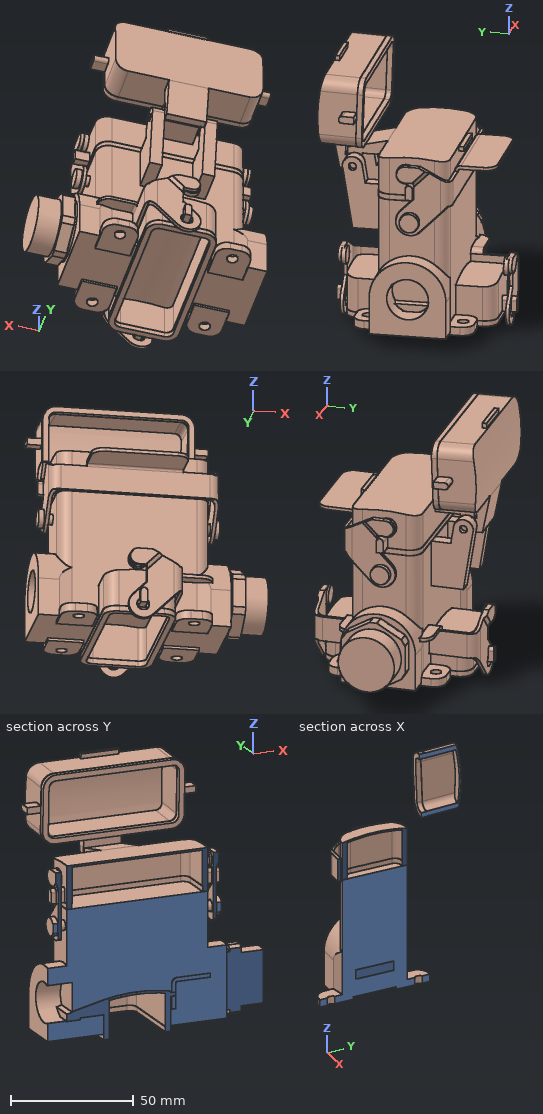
import cadquery as cq
import math

body_length = 63.0
body_width = 29.8
corner_radius = 5.5
wall = 2.5
root_depth = wall / 2
slip = 0.1

half_length = body_length / 2
half_width = body_width / 2
peg_reach = 37.7

cap_bottom = 55.9
cap_top = 74.7
crown_radius = 69.9
crown_thickness = 1.0
rim_step = 0.1
peg_width = 3.0
peg_bottom = 58.3
peg_top = 64.6
arm_half_width = 8.5
rib_reach = 2.1
rib_height = 1.8
rib_top = 72.6
hinge_y = 28.5
hinge_z = 62.8
hinge_end = 3.0
arm_end_top = 69.2
arm_underside = 66.9
arm_lug_bottom = 66.1
open_angle = 88.0

pivot_z = 48.2
lever_half_length = 35.4
lever_front = 17.0
sheet = 1.5
bend_radius = 4.4
eye_radius = 6.0
pivot_hole_diameter = 5.0
notch_y = -1.6
band_bottom = 7.2
band_top = 17.9
tab_center_y = 2.1
tab_bottom = 17.1
tab_radius = 3.4
tab_shoulder_y = -3.8
ramp_start = 9.6
ramp_end = 11.3
tab_step = 1.0
pad_thickness = 2.0
pad_radius = 3.9
pad_y = 2.0
pad_z = 20.0
handle_half_width = 20.0
handle_bend = 1.0
handle_end = 32.5
handle_top = 20.3
handle_corner = 5.0

boss_end = 40.1
boss_radius = 16.0
boss_axis_z = 16.0
bore_diameter = 17.4
bore_depth = 11.0
foot_inner_x = 16.5
foot_inner_y = 9.6
foot_outer_y = 25.1
foot_corner = 5.0
foot_bottom = -1.1
foot_top = 2.5
foot_hole_y = 19.9
foot_hole_diameter = 4.5
knuckle_radius = 4.2
cheek_flare = 1.1
knuckle_outer_x = 13.9
knuckle_hole_diameter = 3.2
knuckle_hole_depth = 2.3
bracket_bottom = 36.1
rivet_diameter = 4.5
rivet_head_diameter = 8.0

gland_neck_diameter = 26.0
gland_neck_length = 1.1
nut_across_flats = 27.3
nut_across_corners = 29.7
nut_length = 5.4
gland_tube_diameter = 24.0
gland_end = 56.4


def upright_block(inset, bottom, top):
    """Rounded rectangular block of the body outline, drawn in by `inset` (out if negative)."""
    return (
        cq.Workplane("XY", origin=(0, 0, bottom))
        .rect(body_length - 2 * inset, body_width - 2 * inset)
        .extrude(top - bottom)
        .edges("|Z")
        .fillet(corner_radius - inset)
    )


def crowned_block(inset, crown_inset):
    """Body block from the cap rim up to a crown that is curved along Y."""
    top = cap_top - crown_inset
    radius = crown_radius - crown_inset
    crown = cq.Workplane("YZ").center(0, top - radius).circle(radius).extrude(half_length, both=True)
    return upright_block(inset, cap_bottom, cap_top).intersect(crown)


def cap_hull():
    """Closed cap without its cavity."""
    edge_z = cap_top - crown_radius + math.sqrt(crown_radius**2 - half_width**2)
    arm = (
        cq.Workplane("YZ")
        .polyline([
            (half_width - root_depth, edge_z),
            (half_width, edge_z),
            (hinge_y + hinge_end, arm_end_top),
            (hinge_y + hinge_end, arm_lug_bottom),
            (hinge_y - hinge_end + slip, arm_lug_bottom),
            (hinge_y - hinge_end - slip, arm_underside),
            (half_width - root_depth, arm_underside),
        ])
        .close()
        .extrude(arm_half_width, both=True)
    )
    rib_depth = rib_reach + root_depth
    rib = (
        cq.Workplane("XY")
        .box(2 * arm_half_width, rib_depth, rib_height)
        .translate((0, rib_depth / 2 - half_width - rib_reach, rib_top - rib_height / 2))
    )
    peg_radius = peg_width / 2
    peg_center = peg_top - peg_radius
    pegs = (
        cq.Workplane("YZ")
        .moveTo(-peg_radius, peg_bottom)
        .lineTo(peg_radius, peg_bottom)
        .lineTo(peg_radius, peg_center)
        .threePointArc((0, peg_top), (-peg_radius, peg_center))
        .close()
        .extrude(peg_reach, both=True)
    )
    rim = upright_block(-rim_step, cap_bottom, peg_bottom)
    return crowned_block(0, 0).union(rim).union(arm).union(rib).union(pegs)


def cap():
    """Hollow cap; its cavity widens by the same small step at the rim."""
    rim_recess = upright_block(wall - rim_step, cap_bottom, peg_bottom)
    return cap_hull().cut(crowned_block(wall, crown_thickness)).cut(rim_recess)


def closed(shape):
    return shape


def opened(shape):
    """Swing a closed cap about the hinge axis."""
    return shape.rotate((0, hinge_y, hinge_z), (1, hinge_y, hinge_z), -open_angle)


def lowered_cap(shape):
    """Turn a closed cap a quarter and set its pegs on the underside plane of the housing."""
    return shape.rotate((0, 0, 0), (0, 0, 1), 90).translate((0, 0, -peg_bottom))


def lever_outline():
    """Side outline of the lever: pivot eye, hooked plate, finger tab and front band."""
    tangent = eye_radius / math.sqrt(2)
    tab_top = tab_bottom + 2 * tab_radius
    tab_middle = tab_bottom + tab_radius
    return (
        cq.Workplane("YZ")
        .moveTo(tangent, tangent)
        .lineTo(notch_y, 2 * tangent - notch_y)
        .lineTo(notch_y, tab_bottom)
        .lineTo(tab_center_y, tab_bottom)
        .threePointArc((tab_center_y + tab_radius, tab_middle), (tab_center_y, tab_top))
        .lineTo(tab_shoulder_y, tab_top)
        .lineTo(sheet - lever_front, band_top)
        .lineTo(-lever_front, band_top)
        .lineTo(-lever_front, band_bottom)
        .lineTo(-2 * tangent - band_bottom, band_bottom)
        .lineTo(-tangent, -tangent)
        .threePointArc((tangent, -tangent), (tangent, tangent))
        .close()
    )


def channel(inset, back):
    """Upright block with two rounded front corners, used for both faces of the bent strip."""
    front = inset - lever_front
    return (
        cq.Workplane("XY")
        .box(2 * (lever_half_length - inset), back - front, 4 * handle_top)
        .translate((0, (back + front) / 2, 0))
        .edges("|Z and <Y")
        .fillet(bend_radius - inset)
    )


def along_ramp(points):
    """Solid from an outline across the ramp, run along it on the +X side."""
    plane = cq.Plane(origin=(0, 0, 0), xDir=(1, 0, 0), normal=(0, -1, 1))
    return cq.Workplane(plane).polyline(points).close().extrude(2 * handle_top, both=True)


def finger_tab():
    """Tab on the +X side, thickened outward past a diagonal ramp, with its inner pad."""
    outer = lever_half_length
    inner = outer - sheet
    reach = 2 * handle_top
    overlap = sheet / 2
    thick_sheet = along_ramp([
        (inner, ramp_start - overlap),
        (inner, reach),
        (outer + tab_step, reach),
        (outer + tab_step, ramp_end),
        (outer, ramp_start),
        (outer, ramp_start - overlap),
    ])
    tab = thick_sheet.intersect(lever_outline().extrude(peg_reach))
    pad = (
        cq.Workplane("YZ", origin=(inner + tab_step - pad_thickness, 0, 0))
        .center(pad_y, pad_z)
        .circle(pad_radius)
        .extrude(pad_thickness)
    )
    return tab.union(pad)


def handle():
    """Finger plate bent forward from the top of the band."""
    front = -lever_front
    back = front + sheet
    bend_y = front - handle_bend
    bend_z = handle_top - sheet - handle_bend
    diagonal = 1 / math.sqrt(2)
    inner_mid = handle_bend * diagonal
    outer_mid = (handle_bend + sheet) * diagonal
    return (
        cq.Workplane("YZ")
        .moveTo(back, bend_z - sheet)
        .lineTo(front, bend_z - sheet)
        .lineTo(front, bend_z)
        .threePointArc((bend_y + inner_mid, bend_z + inner_mid), (bend_y, bend_z + handle_bend))
        .lineTo(-handle_end, handle_top - sheet)
        .lineTo(-handle_end, handle_top)
        .lineTo(bend_y, handle_top)
        .threePointArc((bend_y + outer_mid, bend_z + outer_mid), (back, bend_z))
        .close()
        .extrude(handle_half_width, both=True)
        .edges("|Z and <Y")
        .fillet(handle_corner)
    )


def lever():
    back = eye_radius + tab_radius
    beyond_ramp = along_ramp([
        (-peg_reach, ramp_start),
        (peg_reach, ramp_start),
        (peg_reach, 2 * handle_top),
        (-peg_reach, 2 * handle_top),
    ])
    strip = (
        channel(0, back)
        .cut(channel(sheet, back))
        .intersect(lever_outline().extrude(peg_reach, both=True))
        .cut(beyond_ramp)
    )
    tab = finger_tab()
    pivot_holes = cq.Workplane("YZ").circle(pivot_hole_diameter / 2).extrude(peg_reach, both=True)
    return strip.union(tab).union(tab.mirror("YZ")).union(handle()).cut(pivot_holes)


def raised_lever(shape):
    return shape.translate((0, 0, pivot_z))


def lowered_lever(shape):
    """Quarter turn; the pivot axis lies in the underside plane of the housing."""
    return shape.rotate((0, 0, 0), (0, 0, 1), 90)


def cable_bosses():
    """Arched block along X; in plan it tapers in to the housing walls at their corners."""
    arch = (
        cq.Workplane("YZ")
        .moveTo(-boss_radius, 0)
        .lineTo(boss_radius, 0)
        .lineTo(boss_radius, boss_axis_z)
        .threePointArc((0, boss_axis_z + boss_radius), (-boss_radius, boss_axis_z))
        .close()
        .extrude(boss_end, both=True)
    )
    taper_start = half_length - corner_radius
    quarter = [
        (taper_start, half_width),
        (half_length, boss_radius),
        (boss_end, boss_radius),
    ]
    right_side = quarter + [(x, -y) for x, y in reversed(quarter)]
    left_side = [(-x, -y) for x, y in right_side]
    plan = cq.Workplane("XY").polyline(right_side + left_side).close()
    return arch.intersect(plan.extrude(boss_axis_z + boss_radius))


def feet():
    """Four mounting ears with a hole each."""
    length = half_length - foot_inner_x
    depth = foot_outer_y - foot_inner_y
    middle_x = (half_length + foot_inner_x) / 2
    middle_y = (foot_outer_y + foot_inner_y) / 2
    height = foot_top - foot_bottom
    ear = (
        cq.Workplane("XY", origin=(middle_x, middle_y, foot_bottom))
        .rect(length, depth)
        .extrude(height)
        .edges("|Z and >Y")
        .fillet(foot_corner)
    )
    hole = (
        cq.Workplane("XY", origin=(middle_x, foot_hole_y, foot_bottom))
        .circle(foot_hole_diameter / 2)
        .extrude(height)
    )
    right_ear = ear.cut(hole)
    pair = right_ear.union(right_ear.mirror("YZ"))
    return pair.union(pair.mirror("XZ"))


def hinge_bracket():
    """Two cheeks at the back whose knuckles carry the hinge axis."""
    start = arm_half_width + slip
    profile = (
        cq.Workplane("YZ", origin=(start, 0, 0))
        .moveTo(half_width - root_depth, bracket_bottom)
        .lineTo(hinge_y, bracket_bottom)
        .lineTo(hinge_y + knuckle_radius, hinge_z)
        .threePointArc((hinge_y, hinge_z + knuckle_radius), (hinge_y - knuckle_radius, hinge_z))
        .lineTo(hinge_y - knuckle_radius - cheek_flare, cap_bottom)
        .lineTo(half_width - root_depth, cap_bottom)
        .close()
        .extrude(knuckle_outer_x - start)
    )
    hole = (
        cq.Workplane("YZ", origin=(knuckle_outer_x - knuckle_hole_depth, hinge_y, hinge_z))
        .circle(knuckle_hole_diameter / 2)
        .extrude(knuckle_hole_depth)
    )
    cheek = profile.cut(hole)
    return cheek.union(cheek.mirror("YZ"))


def rivets():
    """Pivot pins on both end walls; each head lies on the outside of the lever."""
    shank = (
        cq.Workplane("YZ", origin=(half_length - root_depth, 0, pivot_z))
        .circle(rivet_diameter / 2)
        .extrude(peg_reach - half_length + root_depth)
    )
    head = (
        cq.Workplane("YZ", origin=(lever_half_length, 0, pivot_z))
        .circle(rivet_head_diameter / 2)
        .extrude(peg_reach - lever_half_length)
    )
    rivet = shank.union(head)
    return rivet.union(rivet.mirror("YZ"))


def housing():
    bore = (
        cq.Workplane("YZ", origin=(-boss_end, 0, boss_axis_z))
        .circle(bore_diameter / 2)
        .extrude(bore_depth)
    )
    return (
        upright_block(0, 0, cap_bottom)
        .union(cable_bosses())
        .union(feet())
        .cut(bore)
        .union(hinge_bracket())
        .union(rivets())
    )


def hexagon(across_flats):
    """Nut blank with flats facing +Y and -Y."""
    return cq.Workplane("YZ").polygon(6, across_flats / math.cos(math.pi / 6)).extrude(nut_length)


def cable_gland():
    nut_start = boss_end + gland_neck_length
    nut_end = nut_start + nut_length
    neck = cq.Workplane("YZ").circle(gland_neck_diameter / 2).extrude(gland_neck_length)
    side = hexagon(nut_across_flats).rotate((0, 0, 0), (1, 0, 0), 30)
    nut = side.intersect(hexagon(nut_across_corners))
    tube = cq.Workplane("YZ").circle(gland_tube_diameter / 2).extrude(gland_end - nut_end)
    return (
        neck.translate((boss_end, 0, boss_axis_z))
        .union(nut.translate((nut_start, 0, boss_axis_z)))
        .union(tube.translate((nut_end, 0, boss_axis_z)))
    )


lower_cap_hull = lowered_cap(cap_hull())
caps = [place(cap()) for place in (closed, opened, lowered_cap)]
levers = [place(lever()).cut(lower_cap_hull) for place in (raised_lever, lowered_lever)]
lower_lever = levers[1]
main_housing = housing().cut(lower_cap_hull).cut(lower_lever)
gland = cable_gland()

result = cq.Compound.makeCompound([
    *main_housing.solids().vals(),
    *gland.solids().vals(),
    *[body for each in caps for body in each.solids().vals()],
    *[body for each in levers for body in each.solids().vals()],
])